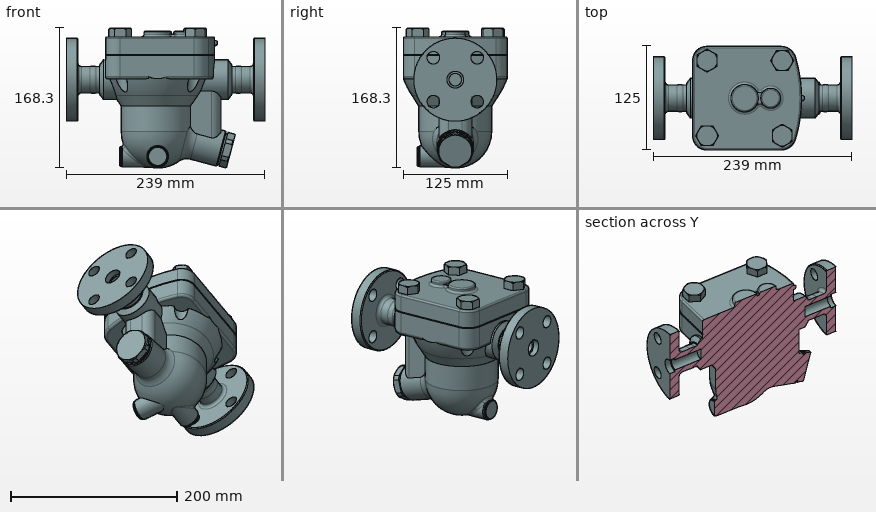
import cadquery as cq
import math


overall_length = 239.0
pipe_centre_x = 9.8
flange_diameter = 100.0
flange_thickness = 14.0
flange_edge_chamfer = 1.2
neck_diameter = 32.0
neck_fillet = 4.0
weld_start = 28.5
weld_end = 35.5
weld_bulge = 0.5
taper_start = 40.0
taper_end = 44.5
socket_taper_diameter = 35.5
socket_diameter = 48.0
flange_hole_diameter = 15.0
flange_hole_circle = 74.5
flange_hole_count = 4
port_diameter = 20.0
port_depth = 7.6
bore_diameter = 15.0

body_width = 125.0
body_left_x = -62.5
body_right_x = 68.5
bow_radius = 171.0
left_corner_radius = 17.2
right_corner_radius = 18.6
body_bottom_z = 0.7
body_edge_fillet = 3.0
joint_z = 29.6
groove_width = 1.0
groove_depth = 0.5
cover_top_z = 51.6
cover_edge_fillet = 2.2

bolt_offset = 45.2
bolt_head_flats = 24.0
bolt_head_height = 10.3
bolt_head_chamfer = 1.5
spot_face_diameter = 18.2
spot_face_reach = 24.0

boss_height = 6.7
boss_edge_round = 1.7
boss_foot_fillet = 2.9
large_boss_diameter = 33.0
small_boss_diameter = 24.0
small_boss_x = 31.3
bridge_width = 13.9
bridge_height = 3.0
bridge_corner_fillet = 2.2

stud_diameter = 6.5
stud_x = 69.0
stud_z = 44.0

bowl_radius = 44.0
dome_centre_z = -62.4
cone_bottom_z = -31.8
cone_top_z = -19.1
cone_top_radius = 52.0
shoulder_top_z = 4.0
shoulder_top_radius = 63.5

pad_width = 39.7
pad_end_x = 76.5
pad_corner_radius = 11.7
strainer_angle = 15.0
strainer_diameter = 44.0
strainer_root_fillet = 17.0
strainer_root_overlap = 0.05
strainer_length = 79.8
strainer_edge_chamfer = 1.2
gasket_diameter = 38.0
cap_start = 82.0
cap_end = 91.3
cap_flats = 39.2
cap_diameter = 42.3
cap_edge_chamfer = 1.2

drain_z = -92.3
drain_diameter = 26.0
drain_shoulder = 42.3
drain_rim_start = 43.5
drain_rim_end = 45.0
drain_end = 46.0
drain_rim_diameter = 24.0
drain_face_diameter = 22.0
drain_root_fillet = 3.5


def body_slab(bottom_z, top_z, inset=0.0):
    """Square block with one bowed side and rounded corners, its outline moved inward by the inset."""
    half_width = body_width / 2 - inset
    left_x = body_left_x + inset
    right_x = body_right_x - inset
    outline_bow_radius = bow_radius - inset
    bow_end_x = right_x - outline_bow_radius + math.sqrt(outline_bow_radius**2 - half_width**2)
    return (
        cq.Workplane("XY", origin=(0, 0, bottom_z))
        .moveTo(left_x, -half_width)
        .lineTo(bow_end_x, -half_width)
        .threePointArc((right_x, 0), (bow_end_x, half_width))
        .lineTo(left_x, half_width)
        .close()
        .extrude(top_z - bottom_z)
        .edges("|Z and <X")
        .fillet(left_corner_radius - inset)
        .edges("|Z")
        .edges(">X")
        .fillet(right_corner_radius - inset)
    )


def body_and_cover():
    """Body and cover as one block, with a shallow groove along their joint."""
    block = body_slab(body_bottom_z, cover_top_z)
    block = block.faces(">Z").edges().fillet(cover_edge_fillet)
    block = block.faces("<Z").edges().fillet(body_edge_fillet)
    groove_bottom = joint_z - groove_width / 2
    groove_top = joint_z + groove_width / 2
    groove = body_slab(groove_bottom, groove_top).cut(body_slab(groove_bottom, groove_top, groove_depth))
    return block.cut(groove)


def bowl():
    """Domed bowl whose flared shoulder is trimmed to the outline of the body."""
    turned = (
        cq.Workplane("XZ")
        .moveTo(0, dome_centre_z - bowl_radius)
        .radiusArc((bowl_radius, dome_centre_z), -bowl_radius)
        .lineTo(bowl_radius, cone_bottom_z)
        .lineTo(cone_top_radius, cone_top_z)
        .tangentArcPoint((shoulder_top_radius, shoulder_top_z), relative=False)
        .lineTo(0, shoulder_top_z)
        .close()
        .revolve(360, (0, 0, 0), (0, 1, 0))
    )
    trimmed = turned.intersect(body_slab(dome_centre_z - bowl_radius, shoulder_top_z))
    spot_faces = (
        cq.Workplane("XY", origin=(0, 0, body_bottom_z))
        .rect(2 * bolt_offset, 2 * bolt_offset, forConstruction=True)
        .vertices()
        .circle(spot_face_diameter / 2)
        .extrude(-spot_face_reach)
    )
    return trimmed.cut(spot_faces)


def corner_diameter(flats):
    """Distance across the corners of a hexagon."""
    return flats / math.cos(math.pi / 6)


def hex_head(flats, height, turned_diameter, chamfer):
    """Hexagon on the XY plane with corners along X, trimmed to a turned and chamfered cylinder."""
    prism = cq.Workplane("XY").polygon(6, corner_diameter(flats)).extrude(height)
    turned = cq.Workplane("XY").circle(turned_diameter / 2).extrude(height)
    return prism.intersect(turned.faces(">Z").chamfer(chamfer))


def cover_bolts():
    """Four heads, two with corners along X and two with corners along Y."""
    turned_diameter = corner_diameter(bolt_head_flats)
    head = hex_head(bolt_head_flats, bolt_head_height, turned_diameter, bolt_head_chamfer)
    bolts = cq.Workplane("XY")
    for side_x in (-1, 1):
        for side_y in (-1, 1):
            turn = 0 if side_x == side_y else 90
            seat = (side_x * bolt_offset, side_y * bolt_offset, cover_top_z)
            bolts = bolts.union(head.rotate((0, 0, 0), (0, 0, 1), turn).translate(seat))
    return bolts


def add_cover_bosses(body):
    """Two round bosses joined by a low bridge, with one fillet round their common foot."""
    top = cq.Workplane("XY", origin=(0, 0, cover_top_z))
    bosses = top.center(small_boss_x / 2, 0).rect(small_boss_x, bridge_width).extrude(bridge_height)
    for centre_x, diameter in ((0, large_boss_diameter), (small_boss_x, small_boss_diameter)):
        boss = top.center(centre_x, 0).circle(diameter / 2).extrude(boss_height)
        bosses = bosses.union(boss.faces(">Z").edges().fillet(boss_edge_round))
    bridge_corners = cq.selectors.BoxSelector(
        (large_boss_diameter / 4, -bridge_width, cover_top_z),
        (small_boss_x, bridge_width, cover_top_z + bridge_height),
    )
    bosses = bosses.edges("|Z").edges(bridge_corners).fillet(bridge_corner_fillet)
    joined = body.union(bosses)
    reach = large_boss_diameter + small_boss_x
    foot_band = boss_edge_round / 2
    foot = cq.selectors.BoxSelector(
        (-reach, -large_boss_diameter, cover_top_z - foot_band),
        (reach, large_boss_diameter, cover_top_z + foot_band),
    )
    return joined.edges(foot).fillet(boss_foot_fillet)


def pipe():
    """Turned inlet pipe with its flange, from the flange face to the bowl axis, and its stepped bore."""
    face_x = pipe_centre_x - overall_length / 2
    neck_radius = neck_diameter / 2
    flange_radius = flange_diameter / 2
    weld_middle = (weld_start + weld_end) / 2
    turned = (
        cq.Workplane("XY", origin=(face_x, 0, 0))
        .lineTo(0, flange_radius)
        .lineTo(flange_thickness - flange_edge_chamfer, flange_radius)
        .lineTo(flange_thickness, flange_radius - flange_edge_chamfer)
        .lineTo(flange_thickness, neck_radius + neck_fillet)
        .radiusArc((flange_thickness + neck_fillet, neck_radius), -neck_fillet)
        .lineTo(weld_start, neck_radius)
        .threePointArc((weld_middle, neck_radius + weld_bulge), (weld_end, neck_radius))
        .lineTo(taper_start, neck_radius)
        .lineTo(taper_start, socket_taper_diameter / 2)
        .lineTo(taper_end, socket_diameter / 2)
        .lineTo(-face_x, socket_diameter / 2)
        .lineTo(-face_x, 0)
        .close()
        .revolve(360, (0, 0, 0), (1, 0, 0))
    )
    face = cq.Workplane("YZ", origin=(face_x, 0, 0))
    bolt_holes = (
        face.polarArray(flange_hole_circle / 2, 45, 360, flange_hole_count)
        .circle(flange_hole_diameter / 2)
        .extrude(flange_thickness)
    )
    port = face.circle(port_diameter / 2).extrude(port_depth)
    bore = face.circle(bore_diameter / 2).extrude(taper_end)
    return turned.cut(bolt_holes), port.union(bore)


def strainer_pad():
    """Vertical pad from the pipe axis down to the strainer."""
    strainer_drop = pad_end_x * math.tan(math.radians(strainer_angle))
    bottom_z = dome_centre_z - strainer_drop
    return (
        cq.Workplane("XY", origin=(0, 0, bottom_z + pad_corner_radius))
        .center(pad_end_x / 2, 0)
        .rect(pad_end_x, pad_width)
        .extrude(-bottom_z - pad_corner_radius)
        .edges("|Z and >X")
        .fillet(pad_corner_radius)
    )


def strainer():
    """Inclined strainer boss, blended into the dome, with its gasket and hexagon cap."""
    boss_radius = strainer_diameter / 2
    blend_across = boss_radius + strainer_root_fillet
    inner_dome_radius = bowl_radius - strainer_root_overlap
    blend_to_dome = inner_dome_radius + strainer_root_fillet
    blend_along = math.sqrt(blend_to_dome**2 - blend_across**2)
    dome_share = inner_dome_radius / blend_to_dome
    axis_tilt = math.radians(strainer_angle)
    axis = (math.cos(axis_tilt), 0, -math.sin(axis_tilt))
    along_plane = cq.Plane((0, 0, dome_centre_z), axis, (0, 1, 0))
    boss = (
        cq.Workplane(along_plane)
        .lineTo(blend_along * dome_share, 0)
        .lineTo(blend_along * dome_share, blend_across * dome_share)
        .radiusArc((blend_along, boss_radius), -strainer_root_fillet)
        .lineTo(strainer_length - strainer_edge_chamfer, boss_radius)
        .lineTo(strainer_length, boss_radius - strainer_edge_chamfer)
        .lineTo(strainer_length, gasket_diameter / 2)
        .lineTo(cap_start, gasket_diameter / 2)
        .lineTo(cap_start, 0)
        .close()
        .revolve(360, (0, 0, 0), (1, 0, 0))
    )
    cap_seat = cq.Plane(along_plane.toWorldCoords((cap_start, 0, 0)), along_plane.yDir, axis)
    cap = hex_head(cap_flats, cap_end - cap_start, cap_diameter, cap_edge_chamfer)
    return boss.union(cq.Workplane(cap.val().moved(cap_seat.location)))


def drain_plug():
    """Turned plug pointing along -X from the bowl axis, with a reduced rim round its end."""
    return (
        cq.Workplane("XY", origin=(0, 0, drain_z))
        .lineTo(0, drain_diameter / 2)
        .lineTo(-drain_shoulder, drain_diameter / 2)
        .lineTo(-drain_rim_start, drain_rim_diameter / 2)
        .lineTo(-drain_rim_end, drain_rim_diameter / 2)
        .lineTo(-drain_end, drain_face_diameter / 2)
        .lineTo(-drain_end, 0)
        .close()
        .revolve(360, (0, 0, 0), (1, 0, 0))
    )


def bowl_with_drain():
    """Bowl with the -X drain plug and a fillet where the two meet."""
    joined = bowl().union(drain_plug())
    root = cq.selectors.BoxSelector(
        (drain_root_fillet - drain_shoulder, -drain_diameter, drain_z - drain_diameter),
        (0, drain_diameter, drain_z + drain_diameter),
    )
    return joined.edges(root).fillet(drain_root_fillet)


def stud():
    """Ball partly sunk into the bowed side of the cover."""
    return cq.Workplane("XY", origin=(stud_x, 0, stud_z)).sphere(stud_diameter / 2)


def pipes():
    """Inlet pipe and its mirror image at the outlet, with the bores to cut from the whole part."""
    inlet, inlet_bore = pipe()
    mirror_point = (pipe_centre_x, 0, 0)
    solids = inlet.union(inlet.mirror("YZ", mirror_point))
    bores = inlet_bore.union(inlet_bore.mirror("YZ", mirror_point))
    return solids, bores


pipe_solids, pipe_bores = pipes()
front_drain_plug = drain_plug().rotate((0, 0, 0), (0, 0, 1), 90)

result = (
    add_cover_bosses(body_and_cover())
    .union(cover_bolts())
    .union(stud())
    .union(bowl_with_drain())
    .union(pipe_solids)
    .cut(pipe_bores)
    .union(strainer_pad())
    .union(strainer())
    .union(front_drain_plug)
)